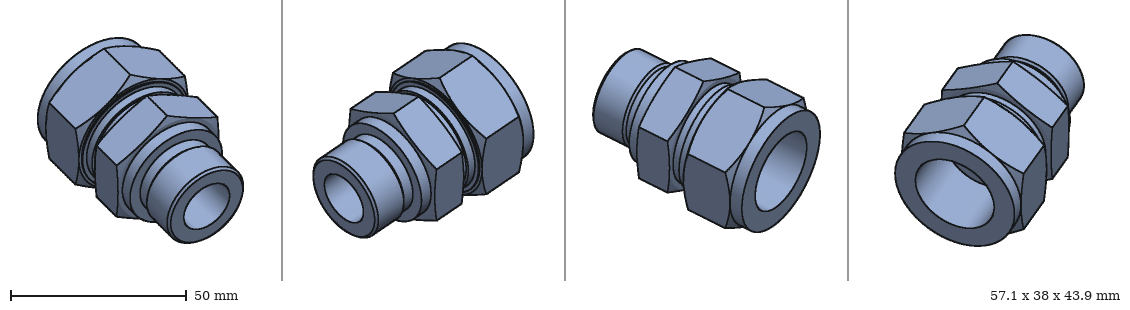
import cadquery as cq
import math

NUT_HEX_START = 4.15
NUT_HEX_END = 20.6
NUT_END = 21.1
BODY_COLLAR_END = 23.8
BODY_HEX_START = 26.5
BODY_HEX_END = 38.0
FLANGE_END = 41.8
THREAD_START = 45.4
TOTAL_LENGTH = 57.06

NUT_FLATS = 38.0
NUT_CHAMFER_ANGLE = 30.0
BODY_FLATS = 35.0
BODY_CHAMFER_ANGLE = 15.0

NUT_LIP_DIAMETER = 36.1
BODY_COLLAR_DIAMETER = 33.3
BODY_NECK_DIAMETER = 31.6
FLANGE_DIAMETER = 32.0
UNDERCUT_DIAMETER = 25.0
THREAD_DIAMETER = 26.5
THREAD_CHAMFER = 0.75

TUBE_BORE_DIAMETER = 25.0
TUBE_BORE_DEPTH = 18.8
THROUGH_BORE_DIAMETER = 15.9


def cylinder(start, end, diameter):
    """Round section on the X axis between two stations."""
    return cq.Workplane("YZ", origin=(start, 0, 0)).circle(diameter / 2).extrude(end - start)


def chamfered_hexagon(start, end, flats, chamfer_angle):
    """Hexagon with corners at +Z and -Z, turned conically at both ends."""
    face_radius = flats / 2
    corner_radius = face_radius / math.cos(math.pi / 6)
    prism = (
        cq.Workplane("YZ", origin=(start, 0, 0))
        .transformed(rotate=(0, 0, 90))
        .polygon(6, 2 * corner_radius)
        .extrude(end - start)
    )

    cone_depth = (corner_radius - face_radius) * math.tan(math.radians(chamfer_angle))
    envelope = (
        cq.Workplane("XY")
        .moveTo(start, 0)
        .lineTo(start, face_radius)
        .lineTo(start + cone_depth, corner_radius)
        .lineTo(end - cone_depth, corner_radius)
        .lineTo(end, face_radius)
        .lineTo(end, 0)
        .close()
        .revolve(360, (0, 0, 0), (1, 0, 0))
    )
    return prism.intersect(envelope)


def union_nut():
    """Nut with a round skirt, a hexagon and a thin lip."""
    skirt = cylinder(0, NUT_HEX_START, NUT_FLATS)
    hexagon = chamfered_hexagon(NUT_HEX_START, NUT_HEX_END, NUT_FLATS, NUT_CHAMFER_ANGLE)
    lip = cylinder(NUT_HEX_END, NUT_END, NUT_LIP_DIAMETER)
    return skirt.union(hexagon).union(lip)


def fitting_body():
    """Body with a collar, neck, hexagon, flange, undercut and threaded end."""
    collar = cylinder(NUT_END, BODY_COLLAR_END, BODY_COLLAR_DIAMETER)
    neck = cylinder(BODY_COLLAR_END, BODY_HEX_START, BODY_NECK_DIAMETER)
    hexagon = chamfered_hexagon(BODY_HEX_START, BODY_HEX_END, BODY_FLATS, BODY_CHAMFER_ANGLE)
    flange = cylinder(BODY_HEX_END, FLANGE_END, FLANGE_DIAMETER)
    undercut = cylinder(FLANGE_END, THREAD_START, UNDERCUT_DIAMETER)
    thread = cylinder(THREAD_START, TOTAL_LENGTH, THREAD_DIAMETER).edges("%CIRCLE").chamfer(THREAD_CHAMFER)
    return collar.union(neck).union(hexagon).union(flange).union(undercut).union(thread)


tube_bore = cylinder(0, TUBE_BORE_DEPTH, TUBE_BORE_DIAMETER)
through_bore = cylinder(0, TOTAL_LENGTH, THROUGH_BORE_DIAMETER)

result = union_nut().union(fitting_body()).cut(tube_bore).cut(through_bore)